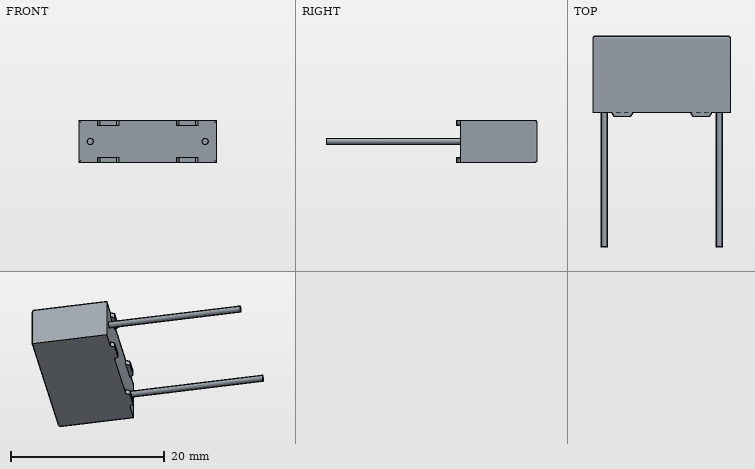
import cadquery as cq

housing_width = 18.0
housing_depth = 10.0
housing_height = 5.5
back_edge_radius = 0.35

lead_diameter = 0.8
lead_pitch = 15.0
lead_length = 17.5

foot_pitch = 10.3
foot_base_width = 2.8
foot_tip_width = 2.15
foot_length = 0.5
foot_thickness = 0.65


def make_foot(center_x, bottom_z):
    """Trapezoidal foot standing on the front face (Y = 0) and pointing to -Y."""
    return (
        cq.Workplane("XY", origin=(center_x, 0, bottom_z))
        .moveTo(-foot_base_width / 2, 0)
        .lineTo(-foot_tip_width / 2, -foot_length)
        .lineTo(foot_tip_width / 2, -foot_length)
        .lineTo(foot_base_width / 2, 0)
        .close()
        .extrude(foot_thickness)
    )


def make_housing():
    """Box with a rounded rim at the back and four feet at the front."""
    housing = (
        cq.Workplane("XY")
        .box(housing_width, housing_depth, housing_height, centered=(True, False, True))
        .faces(">Y")
        .edges()
        .fillet(back_edge_radius)
    )
    lower_foot_z = -housing_height / 2
    upper_foot_z = housing_height / 2 - foot_thickness
    for center_x in (-foot_pitch / 2, foot_pitch / 2):
        for bottom_z in (lower_foot_z, upper_foot_z):
            housing = housing.union(make_foot(center_x, bottom_z))
    return housing


def make_lead(center_x):
    """Straight wire that starts on the front face and runs to -Y."""
    return (
        cq.Workplane("XZ", origin=(center_x, 0, 0))
        .circle(lead_diameter / 2)
        .extrude(lead_length)
    )


housing = make_housing()
leads = [make_lead(center_x) for center_x in (-lead_pitch / 2, lead_pitch / 2)]

result = cq.Compound.makeCompound([housing.val(), *[lead.val() for lead in leads]])